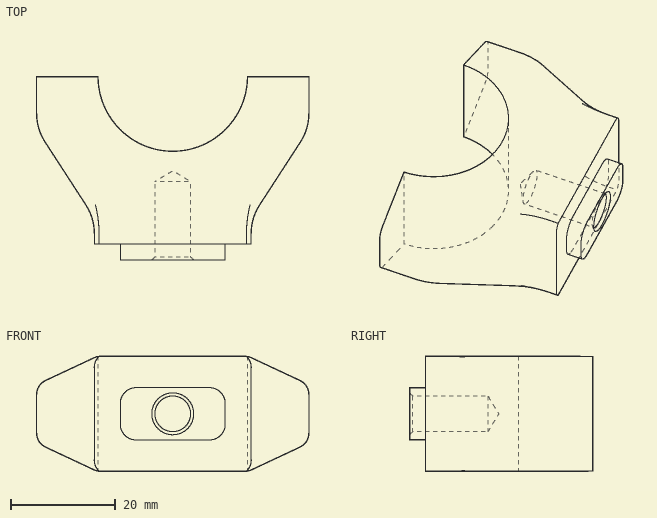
import cadquery as cq
import math

wing_half_width = 26.0
base_half_width = 15.0
overall_height = 22.0
half_height = overall_height / 2
body_length = 32.0
bore_radius = 14.25
selection_margin = 0.5

outer_bend = 10.0
inner_bend = 27.0
bend_radius = 10.0

slope_start = 14.4
wing_tip_half_height = 5.55
edge_radius = 3.0
slope = (half_height - wing_tip_half_height) / (wing_half_width - slope_start)
ridge_half_height = half_height + slope * slope_start

boss_width = 20.0
boss_height = 10.0
boss_length = 3.0
boss_corner_radius = 3.0
hole_diameter = 6.8
hole_mouth_diameter = 8.0
hole_depth = 15.0
drill_point_angle = 118.0


def make_tapered_body():
    """Flared plan under two roof-like pairs of slopes, with rounded side edges."""
    plan = (
        cq.Workplane("XY", origin=(0, 0, -ridge_half_height))
        .polyline([
            (-wing_half_width, 0),
            (-wing_half_width, -outer_bend),
            (-base_half_width, -inner_bend),
            (-base_half_width, -body_length),
            (base_half_width, -body_length),
            (base_half_width, -inner_bend),
            (wing_half_width, -outer_bend),
            (wing_half_width, 0),
        ])
        .close()
        .extrude(2 * ridge_half_height)
    )
    bends = cq.selectors.BoxSelector(
        (-2 * wing_half_width, -inner_bend - selection_margin, -ridge_half_height),
        (2 * wing_half_width, -outer_bend + selection_margin, ridge_half_height),
    )
    plan = plan.edges("|Z").edges(bends).fillet(bend_radius)
    roof = (
        cq.Workplane("XZ")
        .polyline([
            (-wing_half_width, -wing_tip_half_height),
            (0, -ridge_half_height),
            (wing_half_width, -wing_tip_half_height),
            (wing_half_width, wing_tip_half_height),
            (0, ridge_half_height),
            (-wing_half_width, wing_tip_half_height),
        ])
        .close()
        .extrude(body_length)
    )
    body = plan.intersect(roof)
    end_edges = body.faces("<Y or >Y").edges()
    upright_edges = body.edges("|Z")
    ridges = body.edges("|Y").edges(cq.selectors.BoxSelector(
        (-selection_margin, -body_length, -2 * ridge_half_height),
        (selection_margin, 0, 2 * ridge_half_height),
    ))
    side_edges = body.edges().objects
    excluded = end_edges.objects + upright_edges.objects + ridges.objects
    side_edges = [e for e in side_edges if not any(e.isSame(x) for x in excluded)]
    return body.newObject(side_edges).fillet(edge_radius)


def make_height_envelope():
    """Flat top and bottom, blended into the wing slopes."""
    envelope = (
        cq.Workplane("XZ")
        .polyline([
            (-wing_half_width, -wing_tip_half_height),
            (-slope_start, -half_height),
            (slope_start, -half_height),
            (wing_half_width, -wing_tip_half_height),
            (wing_half_width, wing_tip_half_height),
            (slope_start, half_height),
            (-slope_start, half_height),
            (-wing_half_width, wing_tip_half_height),
        ])
        .close()
        .extrude(body_length)
    )
    slope_edges = cq.selectors.BoxSelector(
        (-slope_start - selection_margin, -body_length, -half_height - selection_margin),
        (slope_start + selection_margin, 0, half_height + selection_margin),
    )
    return envelope.edges("|Y").edges(slope_edges).fillet(edge_radius)


def make_boss():
    """Rounded pad on the front face."""
    return (
        cq.Workplane("XZ", origin=(0, -body_length, 0))
        .rect(boss_width, boss_height)
        .extrude(boss_length)
        .edges("|Y")
        .fillet(boss_corner_radius)
    )


def make_hole():
    """Blind drilled hole with a 45 degree mouth, revolved about Y."""
    front = -body_length - boss_length
    radius = hole_diameter / 2
    mouth_radius = hole_mouth_diameter / 2
    point_length = radius / math.tan(math.radians(drill_point_angle / 2))
    return (
        cq.Workplane("XY")
        .polyline([
            (0, front),
            (mouth_radius, front),
            (radius, front + mouth_radius - radius),
            (radius, front + hole_depth),
            (0, front + hole_depth + point_length),
        ])
        .close()
        .revolve(360, (0, 0, 0), (0, 1, 0))
    )


bore = cq.Workplane("XY").circle(bore_radius).extrude(half_height, both=True)

body = make_tapered_body().intersect(make_height_envelope())
result = body.cut(bore).union(make_boss()).cut(make_hole())